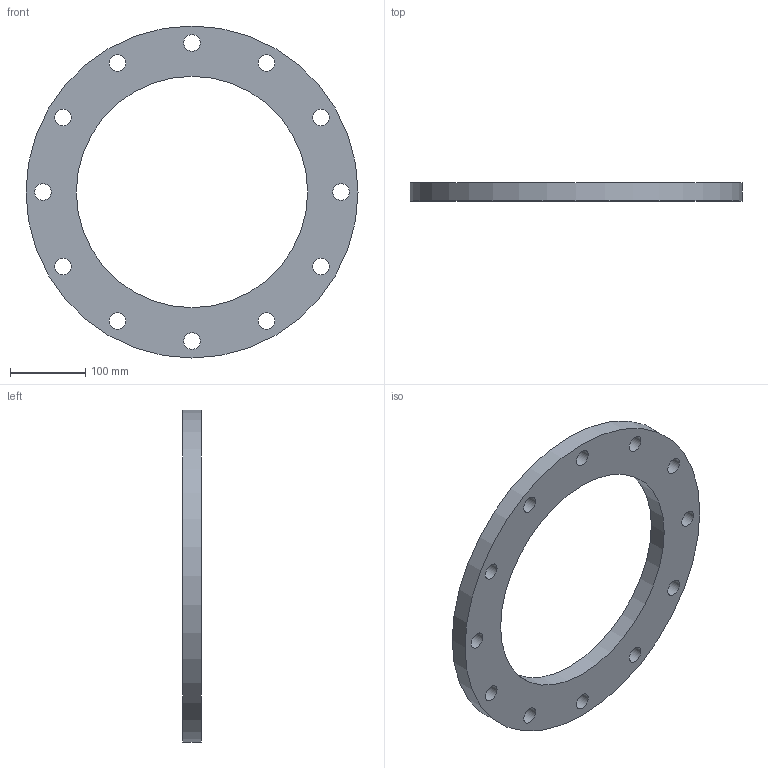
import cadquery as cq

OUTER_DIAMETER = 440.0
BORE_DIAMETER = 306.5
THICKNESS = 24.0

BOLT_CIRCLE_DIAMETER = 395.0
BOLT_HOLE_DIAMETER = 22.0
BOLT_HOLE_COUNT = 12


def ring_body():
    """Plain ring, centred on the origin."""
    return (
        cq.Workplane("XZ", origin=(0, THICKNESS / 2, 0))
        .circle(OUTER_DIAMETER / 2)
        .circle(BORE_DIAMETER / 2)
        .extrude(THICKNESS)
    )


def bolt_holes():
    """Cylinders that cut the bolt holes through the full thickness."""
    return (
        cq.Workplane("XZ", origin=(0, THICKNESS / 2, 0))
        .polarArray(BOLT_CIRCLE_DIAMETER / 2, 0, 360, BOLT_HOLE_COUNT)
        .circle(BOLT_HOLE_DIAMETER / 2)
        .extrude(THICKNESS)
    )


result = ring_body().cut(bolt_holes())